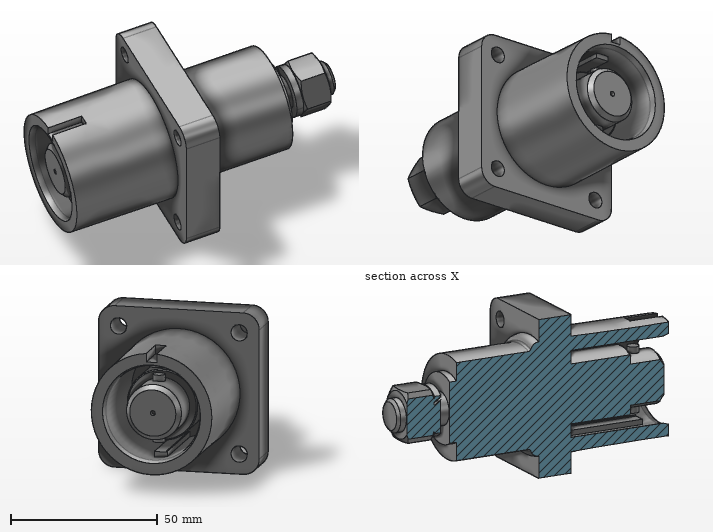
import cadquery as cq
import math

flange_front = 38.0
flange_rear = 50.6
body_rear = 82.8
disc_rear = 85.4
washer_front = 88.8
nut_front = 91.3
nut_rear = 102.0
stud_tip = 105.3

flange_side = 56.7
flange_corner_radius = 5.7
hole_spacing = 42.5
hole_diameter = 5.7

shell_base_radius = 21.6
shell_mouth_radius = 21.3
collar_radius = 21.4
collar_round = 3.4
collar_fillet = 1.0
body_radius = 18.6
disc_radius = 12.6
stud_radius = 6.0
stud_chamfer = 1.1

bore_radius = 16.6
bore_mouth_radius = 17.3
bore_lead_in = 2.1
bore_depth = flange_front

contact_front = 1.8
contact_radius = 9.7
contact_chamfer = 1.6
sleeve_front = 14.7
sleeve_radius = 12.4
sleeve_chamfer = 0.4
cross_pin_depth = 10.5
cross_pin_radius = 2.1
cross_pin_length = 23.6
center_hole_diameter = 1.7
center_hole_depth = 2.1

slot_width = 3.7
slot_floor = 18.2
slot_length = 12.6
key_inner_radius = 14.7
key_front = 7.4
top_key_width = 5.1
bottom_key_width = 4.7
bottom_key_offset = 1.5
key_lip_width = 0.4
key_lip_height = 0.4
key_wall_overlap = 0.6

nut_across_flats = 18.0
nut_face_radius = 8.4
nut_chamfer_angle = 25
washer_radius = 9.2
washer_gap = 0.7
washer_gap_angle = 142
washer_gap_tilt = 26


def revolve_y(outline):
    """Turn a closed outline of (radius, station) around the Y axis."""
    return outline.close().revolve(360, (0, 0, 0), (0, 1, 0))


def disc_y(radius, start, end):
    """Cylinder on the Y axis between two stations."""
    return cq.Workplane("XZ", origin=(0, start, 0)).circle(radius).extrude(start - end)


def box_between(x_range, y_range, z_range):
    """Box given by its limits along each axis."""
    sizes = [high - low for low, high in (x_range, y_range, z_range)]
    corner = (x_range[0], y_range[0], z_range[0])
    return cq.Workplane("XY", origin=corner).box(*sizes, centered=False)


def make_flange():
    plate = (
        cq.Workplane("XZ", origin=(0, flange_front, 0))
        .rect(flange_side, flange_side)
        .extrude(flange_front - flange_rear)
        .edges("|Y")
        .fillet(flange_corner_radius)
    )
    holes = (
        cq.Workplane("XZ", origin=(0, flange_front, 0))
        .rect(hole_spacing, hole_spacing, forConstruction=True)
        .vertices()
        .circle(hole_diameter / 2)
        .extrude(flange_front - flange_rear)
    )
    return plate.cut(holes)


def make_shell():
    """Slightly tapered tube, closed behind by the flange, with a lead-in cone at its mouth."""
    return revolve_y(
        cq.Workplane("XY")
        .moveTo(bore_mouth_radius, 0)
        .lineTo(shell_mouth_radius, 0)
        .lineTo(shell_base_radius, flange_front)
        .lineTo(bore_radius, bore_depth)
        .lineTo(bore_radius, bore_lead_in)
    )


def make_rear_body():
    """Rounded collar, body, end disc and stud behind the flange."""
    round_center = collar_radius - collar_round
    fillet_center = body_radius + collar_fillet
    join_angle = math.acos((fillet_center - round_center) / (collar_round + collar_fillet))
    fillet_end = flange_rear + (collar_round + collar_fillet) * math.sin(join_angle)

    def round_point(angle):
        return (
            round_center + collar_round * math.cos(angle),
            flange_rear + collar_round * math.sin(angle),
        )

    def fillet_point(angle):
        return (
            fillet_center - collar_fillet * math.cos(angle),
            fillet_end - collar_fillet * math.sin(angle),
        )

    return revolve_y(
        cq.Workplane("XY")
        .moveTo(0, flange_rear)
        .lineTo(collar_radius, flange_rear)
        .threePointArc(round_point(join_angle / 2), round_point(join_angle))
        .threePointArc(fillet_point(join_angle / 2), fillet_point(0))
        .lineTo(body_radius, body_rear)
        .lineTo(disc_radius, body_rear)
        .lineTo(disc_radius, disc_rear)
        .lineTo(stud_radius, disc_rear)
        .lineTo(stud_radius, stud_tip - stud_chamfer)
        .lineTo(stud_radius - stud_chamfer, stud_tip)
        .lineTo(0, stud_tip)
    )


def make_contact():
    """Chamfered contact with a wider sleeve behind it and a cross pin."""
    contact = disc_y(contact_radius, contact_front, bore_depth).faces("<Y").chamfer(contact_chamfer)
    sleeve = disc_y(sleeve_radius, sleeve_front, bore_depth).faces("<Y").chamfer(sleeve_chamfer)
    cross_pin = cq.Workplane("XY", origin=(0, cross_pin_depth, 0)).cylinder(cross_pin_length, cross_pin_radius)
    center_hole = disc_y(center_hole_diameter / 2, contact_front, contact_front + center_hole_depth)
    return contact.union(sleeve).union(cross_pin).cut(center_hole)


def make_top_key():
    half_width = top_key_width / 2
    z_range = (key_inner_radius, bore_radius + key_wall_overlap)
    return box_between((-half_width, half_width), (key_front, bore_depth), z_range)


def make_bottom_key():
    """Off-center key with a small raised lip along its +X edge."""
    left = bottom_key_offset - bottom_key_width / 2
    right = bottom_key_offset + bottom_key_width / 2
    y_range = (key_front, bore_depth)
    bottom = -bore_radius - key_wall_overlap
    key = box_between((left, right), y_range, (bottom, -key_inner_radius))
    lip = box_between((right - key_lip_width, right), y_range, (bottom, key_lip_height - key_inner_radius))
    return key.union(lip)


def make_slot():
    return box_between((-slot_width / 2, slot_width / 2), (0, slot_length), (slot_floor, shell_base_radius))


def make_nut():
    """Hexagon with corners on the X axis, its corners turned off at both ends."""
    corner_radius = nut_across_flats / math.sqrt(3)
    chamfer_height = (corner_radius - nut_face_radius) * math.tan(math.radians(nut_chamfer_angle))
    hexagon = (
        cq.Workplane("XZ", origin=(0, nut_front, 0))
        .polygon(6, 2 * corner_radius)
        .extrude(nut_front - nut_rear)
    )
    turned_blank = revolve_y(
        cq.Workplane("XY")
        .moveTo(0, nut_front)
        .lineTo(nut_face_radius, nut_front)
        .lineTo(corner_radius, nut_front + chamfer_height)
        .lineTo(corner_radius, nut_rear - chamfer_height)
        .lineTo(nut_face_radius, nut_rear)
        .lineTo(0, nut_rear)
    )
    return hexagon.intersect(turned_blank)


def make_washer():
    """Lock washer split by one slanted gap that reaches in to the stud."""
    washer = disc_y(washer_radius, washer_front, nut_front)
    middle = (washer_front + nut_front) / 2
    gap_height = 2 * (nut_front - washer_front)
    gap = (
        cq.Workplane("XY")
        .box(washer_radius, gap_height, washer_gap)
        .rotate((0, 0, 0), (1, 0, 0), washer_gap_tilt)
        .translate((stud_radius + washer_radius / 2, middle, 0))
        .rotate((0, 0, 0), (0, 1, 0), -washer_gap_angle)
    )
    return washer.cut(gap)


result = (
    make_shell()
    .cut(make_slot())
    .union(make_top_key())
    .union(make_bottom_key())
    .union(make_flange())
    .union(make_contact())
    .union(make_rear_body())
    .union(make_washer())
    .union(make_nut())
)